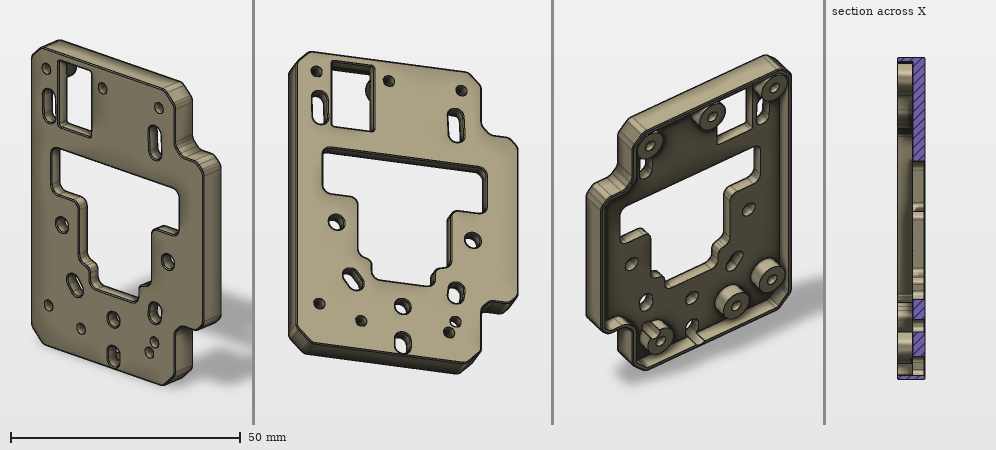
import cadquery as cq
import math

height = 70.1
width = 50.6
thickness = 6.0
skin = 2.7
rim = 1.0
edge_bevel = 0.25

body_width = 42.3
tab_bottom = 15.8
tab_top = 55.75
top_corner = 3.0
bottom_corner = 3.5
tab_corner = 2.0
outline_radius = 1.95

head_left, head_right = 6.1, 43.3
head_bottom, head_top = 36.6, 47.45
throat_left, throat_right = 14.15, 35.2
foot_left, foot_right = 17.3, 31.5
foot_bottom = 17.45
shoulder_high, shoulder_low = 22.85, 21.9
window_radius = 1.9
foot_shoulder_radius = 1.55

side_window_center = (12.9, 60.6)
side_window_width = 9.45
side_window_height = 15.5
side_window_radius = 0.55

small_diameter = 2.5
boss_diameter = 6.9
top_row_z = 65.35
bottom_row_z = 6.95
second_row_z = 9.75
small_holes = [
    (4.6, top_row_z),
    (21.1, top_row_z),
    (37.65, top_row_z),
    (5.25, second_row_z),
    (36.3, second_row_z),
    (14.8, bottom_row_z),
    (34.85, bottom_row_z),
]

large_diameter = 3.4
side_hole_z = 29.8
center_x = 24.25
large_holes = [(9.2, side_hole_z), (40.25, side_hole_z), (center_x, 11.7)]

upper_slot_top, upper_slot_bottom = 58.95, 54.6
middle_slot_top, middle_slot_bottom = 17.4, 15.9
slots = [
    ((5.3, upper_slot_top), (5.5, upper_slot_bottom)),
    ((36.3, upper_slot_top), (36.5, upper_slot_bottom)),
    ((12.4, middle_slot_top), (13.5, middle_slot_bottom)),
    ((36.5, middle_slot_top), (36.3, middle_slot_bottom)),
    ((center_x, 3.7), (center_x, 2.25)),
]


def front_plane():
    """Workplane on the front face: local x is X, local y is Z, normal is -Y."""
    return cq.Workplane("XZ")


def into_plate(sketch):
    """Extrude a front-face profile through the plate thickness."""
    return sketch.extrude(-thickness)


def plate():
    """Full-thickness plate with rounded 45 degree corners."""
    points = [
        (bottom_corner, 0),
        (body_width - bottom_corner, 0),
        (body_width, bottom_corner),
        (body_width, tab_bottom - tab_corner),
        (body_width + tab_corner, tab_bottom),
        (width - tab_corner, tab_bottom),
        (width, tab_bottom + tab_corner),
        (width, tab_top - tab_corner),
        (width - tab_corner, tab_top),
        (body_width + tab_corner, tab_top),
        (body_width, tab_top + tab_corner),
        (body_width, height - top_corner),
        (body_width - top_corner, height),
        (top_corner, height),
        (0, height - top_corner),
        (0, bottom_corner),
    ]
    body = into_plate(front_plane().polyline(points).close())
    return body.edges("|Y").fillet(outline_radius)


def back_recess(body):
    """Pocket volume behind the skin, inset from the outline by the rim."""
    outline = body.faces(">Y").wires().toPending().workplane()
    return outline.offset2D(-rim).extrude(skin - thickness, combine=False)


def central_window():
    points = [
        (foot_left, foot_bottom),
        (foot_right, foot_bottom),
        (foot_right, shoulder_low),
        (throat_right, shoulder_high),
        (throat_right, head_bottom),
        (head_right, head_bottom),
        (head_right, head_top),
        (head_left, head_top),
        (head_left, head_bottom),
        (throat_left, head_bottom),
        (throat_left, shoulder_high),
        (foot_left, shoulder_low),
    ]
    window = into_plate(front_plane().polyline(points).close())

    def at_foot_shoulder(edge):
        return abs(edge.Center().z - shoulder_low) < edge_bevel

    corners = window.edges("|Y")
    window = corners.filter(lambda edge: not at_foot_shoulder(edge)).fillet(window_radius)
    return window.edges("|Y").filter(at_foot_shoulder).fillet(foot_shoulder_radius)


def side_window():
    window = front_plane().center(*side_window_center).rect(side_window_width, side_window_height)
    return into_plate(window).edges("|Y").fillet(side_window_radius)


def slot(upper, lower):
    run = upper[0] - lower[0]
    rise = upper[1] - lower[1]
    middle = ((upper[0] + lower[0]) / 2, (upper[1] + lower[1]) / 2)
    length = math.hypot(run, rise) + large_diameter
    angle = math.degrees(math.atan2(rise, run))
    return into_plate(front_plane().center(*middle).slot2D(length, large_diameter, angle))


def cylinders(centers, diameter):
    """Full-thickness cylinders, used both as bosses and as drills."""
    return into_plate(front_plane().pushPoints(centers).circle(diameter / 2))


body = plate()
recess = back_recess(body).cut(cylinders(small_holes, boss_diameter))

body = body.faces(">Y").edges().chamfer(edge_bevel)
body = body.cut(recess)

body = body.cut(central_window()).cut(side_window())
body = body.cut(cylinders(large_holes, large_diameter))
for upper_end, lower_end in slots:
    body = body.cut(slot(upper_end, lower_end))

body = body.faces("<Y").edges().chamfer(edge_bevel)
result = body.cut(cylinders(small_holes, small_diameter))